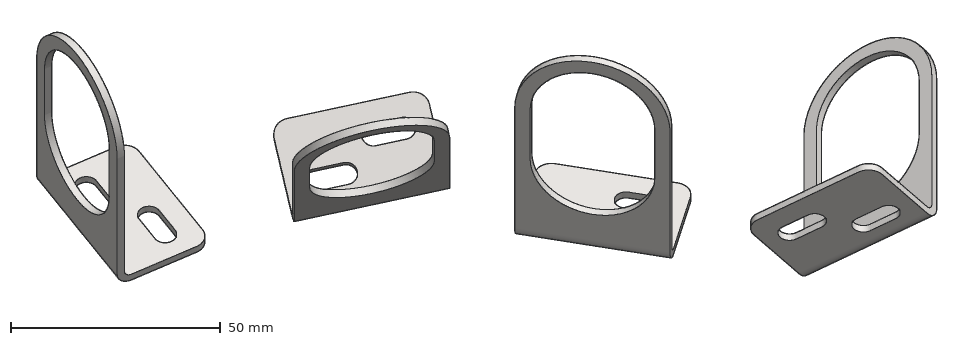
import cadquery as cq

width = 38.0
depth = 26.0
height = 62.95
thickness = 2.0
bend_inner_radius = 2.0
bend_outer_radius = bend_inner_radius + thickness
base_corner_radius = 4.0

window_width = 30.45
window_center_spacing = 16.0
top_center_z = height - width / 2
window_center_z = top_center_z - window_center_spacing / 2

slot_length = 13.0
slot_width = 5.55
slot_offset_x = 8.0
rear_slot_setback = 8.5
slot_spacing_y = 8.0


def bent_sheet():
    """L-shaped sheet with its front face on Y = 0 and its underside on Z = 0."""
    base = cq.Workplane("XY").box(width, depth, thickness, centered=(True, False, False))
    upright = cq.Workplane("XY").box(width, thickness, height, centered=(True, False, False))
    bend_fill = cq.Workplane("XY").box(
        width, bend_outer_radius, bend_outer_radius, centered=(True, False, False)
    )
    bend_cavity = (
        cq.Workplane("YZ")
        .center(bend_outer_radius, bend_outer_radius)
        .circle(bend_inner_radius)
        .extrude(width / 2, both=True)
    )
    sheet = base.union(upright).union(bend_fill).cut(bend_cavity)
    front_bottom_edge = cq.selectors.NearestToPointSelector((0, 0, 0))
    return sheet.edges(front_bottom_edge).fillet(bend_outer_radius)


def rounded_top_outline():
    """Full-depth prism that gives the upright its semicircular top."""
    return (
        cq.Workplane("XZ")
        .moveTo(-width / 2, 0)
        .lineTo(width / 2, 0)
        .lineTo(width / 2, top_center_z)
        .threePointArc((0, height), (-width / 2, top_center_z))
        .close()
        .extrude(-depth)
    )


def window():
    return (
        cq.Workplane("XZ")
        .center(0, window_center_z)
        .slot2D(window_center_spacing + window_width, window_width, 90)
        .extrude(-thickness)
    )


def mounting_slots():
    rear_y = depth - rear_slot_setback
    slot_centers = [(slot_offset_x, rear_y), (-slot_offset_x, rear_y - slot_spacing_y)]
    return (
        cq.Workplane("XY")
        .pushPoints(slot_centers)
        .slot2D(slot_length, slot_width)
        .extrude(thickness)
    )


bracket = bent_sheet().intersect(rounded_top_outline())
bracket = bracket.faces(">Y").edges("|Z").fillet(base_corner_radius)
result = bracket.cut(window()).cut(mounting_slots())